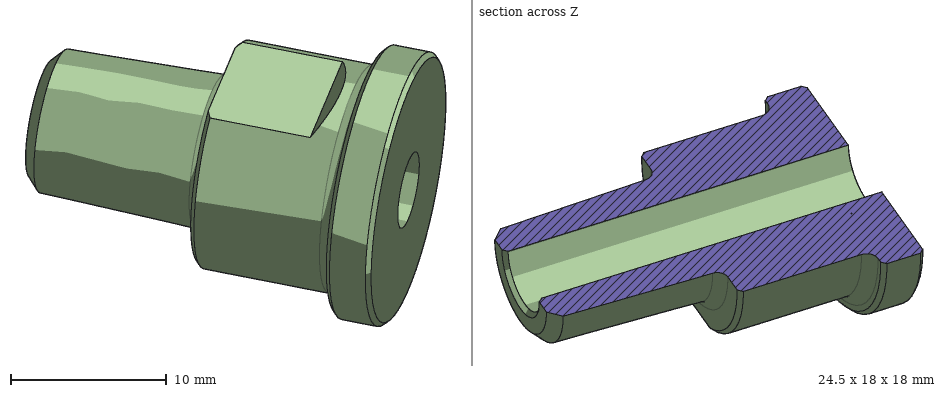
import cadquery as cq
import math

total_length = 24.5
flange_thickness = 3.0
nose_length = 12.0
flat_length = 7.0

taper_on_diameter = 1 / 16
nose_tip_diameter = 9.4
nose_chamfer = 0.8

body_diameter = 15.0
flange_diameter = 18.0
bore_diameter = 5.0
across_flats = 13.0

edge_chamfer = 0.3
nose_fillet = 0.75
flange_fillet = 0.8

body_radius = body_diameter / 2
flange_radius = flange_diameter / 2
bore_radius = bore_diameter / 2
flange_start = total_length - flange_thickness
taper_slope = taper_on_diameter / 2
taper_angle = math.atan(taper_slope)


def nose_radius(x):
    """Radius of the tapered nose at distance x from its face."""
    return nose_tip_diameter / 2 + taper_slope * x


def corner_arc(x_shoulder, center_radius, fillet, wall_angle=0.0):
    """Start, middle and end of a concave fillet running from a wall up to a shoulder.

    The wall rises at wall_angle to the X axis and the shoulder is square to it.
    """
    center_x = x_shoulder - fillet
    start_angle = wall_angle - math.pi / 2
    return [
        (center_x + fillet * math.cos(angle), center_radius + fillet * math.sin(angle))
        for angle in (start_angle, start_angle / 2, 0.0)
    ]


def make_turned_blank():
    """Revolve the nose, body and flange around X, with the bore through them."""
    nose_arc_radius = nose_radius(nose_length - nose_fillet) + nose_fillet / math.cos(taper_angle)
    nose_arc = corner_arc(nose_length, nose_arc_radius, nose_fillet, taper_angle)
    flange_arc = corner_arc(flange_start, body_radius + flange_fillet, flange_fillet)

    profile = (
        cq.Workplane("XY")
        .moveTo(edge_chamfer, bore_radius)
        .lineTo(0, bore_radius + edge_chamfer)
        .lineTo(0, nose_radius(0) - nose_chamfer)
        .lineTo(nose_chamfer, nose_radius(nose_chamfer))
        .lineTo(*nose_arc[0])
        .threePointArc(nose_arc[1], nose_arc[2])
        .lineTo(nose_length, body_radius - edge_chamfer)
        .lineTo(nose_length + edge_chamfer, body_radius)
        .lineTo(*flange_arc[0])
        .threePointArc(flange_arc[1], flange_arc[2])
        .lineTo(flange_start, flange_radius - edge_chamfer)
        .lineTo(flange_start + edge_chamfer, flange_radius)
        .lineTo(total_length - edge_chamfer, flange_radius)
        .lineTo(total_length, flange_radius - edge_chamfer)
        .lineTo(total_length, bore_radius)
        .close()
    )
    return profile.revolve(360, (0, 0, 0), (1, 0, 0))


def make_flat_cutter():
    """Material above the top wrench flat, ending in a 45 degree run-out."""
    flat_height = across_flats / 2
    flat_end = nose_length + flat_length
    cut_depth = body_radius - flat_height
    return (
        cq.Workplane("XZ")
        .moveTo(nose_length, flat_height)
        .lineTo(flat_end, flat_height)
        .lineTo(flat_end + cut_depth, body_radius)
        .lineTo(nose_length, body_radius)
        .close()
        .extrude(body_radius, both=True)
    )


top_flat = make_flat_cutter()
bottom_flat = top_flat.mirror("XY")

result = make_turned_blank().cut(top_flat).cut(bottom_flat)